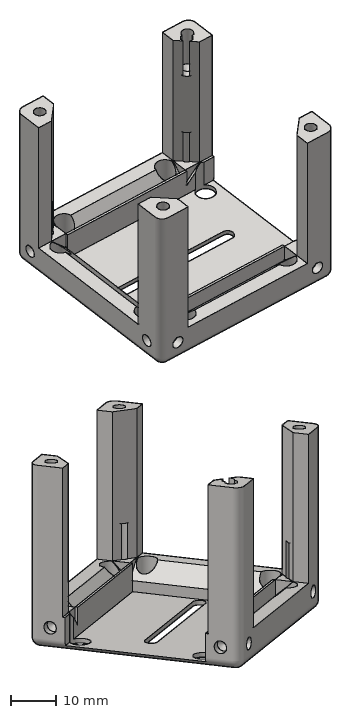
import cadquery as cq
import math

side = 49.8
height = 42.1
half = side / 2

frame_width = 7.8
frame_height = 7.65
edge_radius = 2.0
inner_half = half - frame_width

floor_thickness = 1.1
wall_thickness = 0.6
channel_half_width = inner_half - wall_thickness

rail_flat = 3.65
groove_width = frame_width - rail_flat
groove_depth = 4.05
pillar_chamfer = groove_width

slot_length = 32.95
slot_width = 3.0

rail_hole_diameter = 4.7
rail_hole_inset = 4.1
rail_hole_spacing = 29.0

upright_screw_diameter = 2.8
side_screw_diameter = 2.9
screw_inset = 4.9
top_screw_inset = 3.75
bottom_screw_depth = 15.95
side_screw_depth = 2.0
top_screw_depth = 9.95
drill_tip_angle = 118.0

SIGNS = (-1, 1)
QUARTER_TURNS = (0, 90, 180, 270)


def block(x_range, y_range, z_range):
    """Axis-aligned box given by its start and end along each axis."""
    starts, ends = zip(x_range, y_range, z_range)
    sizes = [end - start for start, end in zip(starts, ends)]
    return cq.Workplane("XY").box(*sizes, centered=False).translate(starts)


def corners(x, y):
    """The four points mirrored about both axes."""
    return [(x_sign * x, y_sign * y) for x_sign in SIGNS for y_sign in SIGNS]


def cut_all_around(body, cutter):
    """Cut the same shape from all four sides of the body."""
    for angle in QUARTER_TURNS:
        body = body.cut(cutter.rotate((0, 0, 0), (0, 0, 1), angle))
    return body


def rounded_block():
    """Solid envelope with rounded upright and bottom edges."""
    envelope = block((-half, half), (-half, half), (0, height))
    return envelope.edges("|Z").fillet(edge_radius).faces("<Z").edges().fillet(edge_radius)


def pillar_gap(x_half, y_half):
    """Space above the frame between two pairs of pillars."""
    return block((-x_half, x_half), (-y_half, y_half), (frame_height, height))


def pillar_chamfer_cutter():
    """Triangular prism that chamfers the inner corner of one pillar."""
    tip = inner_half + pillar_chamfer
    triangle = [(inner_half, inner_half), (tip, inner_half), (inner_half, tip)]
    return (
        cq.Workplane("XY", origin=(0, 0, frame_height))
        .polyline(triangle)
        .close()
        .extrude(height - frame_height)
    )


def groove_cutter():
    """Groove along the +X rail, sloping down to an upright inner side."""
    triangle = [
        (inner_half, frame_height),
        (inner_half + groove_width, frame_height),
        (inner_half, frame_height - groove_depth),
    ]
    return cq.Workplane("XZ").polyline(triangle).close().extrude(inner_half, both=True)


def floor_channel():
    """Channel above the floor, from the front rail out through the back."""
    return block(
        (-channel_half_width, channel_half_width),
        (-inner_half, half),
        (floor_thickness, frame_height),
    )


def floor_slot():
    return cq.Workplane("XY").slot2D(slot_length, slot_width, 90).extrude(frame_height)


def rail_holes():
    across = half - rail_hole_inset
    along = rail_hole_spacing / 2
    return (
        cq.Workplane("XY")
        .pushPoints(corners(across, along) + corners(along, across))
        .circle(rail_hole_diameter / 2)
        .extrude(frame_height)
    )


def bottom_screw_holes():
    """Flat-ended holes from below; they break through the pillar chamfers."""
    offset = half - screw_inset
    return (
        cq.Workplane("XY")
        .pushPoints(corners(offset, offset))
        .circle(upright_screw_diameter / 2)
        .extrude(bottom_screw_depth)
    )


def drilled_hole(diameter, depth):
    """Hole with a conical end, running down -Z from the origin."""
    radius = diameter / 2
    tip_length = radius / math.tan(math.radians(drill_tip_angle / 2))
    profile = [(0, 0), (radius, 0), (radius, -depth), (0, -depth - tip_length)]
    return cq.Workplane("XZ").polyline(profile).close().revolve(360, (0, 0, 0), (0, 1, 0))


def cut_top_screw_holes(body):
    """One hole in each pillar top, and a second one in the -X +Y pillar."""
    offset = half - top_screw_inset
    second_offset = half - screw_inset
    hole = drilled_hole(upright_screw_diameter, top_screw_depth)
    for x, y in corners(offset, offset) + [(-second_offset, second_offset)]:
        body = body.cut(hole.translate((x, y, height)))
    return body


def cut_side_screw_holes(body):
    """Two holes at the foot of each outer side."""
    front_hole = drilled_hole(side_screw_diameter, side_screw_depth).rotate((0, 0, 0), (1, 0, 0), 90)
    for sign in SIGNS:
        x = sign * (half - screw_inset)
        body = cut_all_around(body, front_hole.translate((x, -half, screw_inset)))
    return body


result = rounded_block()
result = result.cut(pillar_gap(inner_half, half))
result = result.cut(pillar_gap(half, inner_half))
result = cut_all_around(result, pillar_chamfer_cutter())
result = cut_all_around(result, groove_cutter())
result = result.cut(floor_channel())
result = result.cut(floor_slot())
result = result.cut(rail_holes())
result = result.cut(bottom_screw_holes())
result = cut_top_screw_holes(result)
result = cut_side_screw_holes(result)